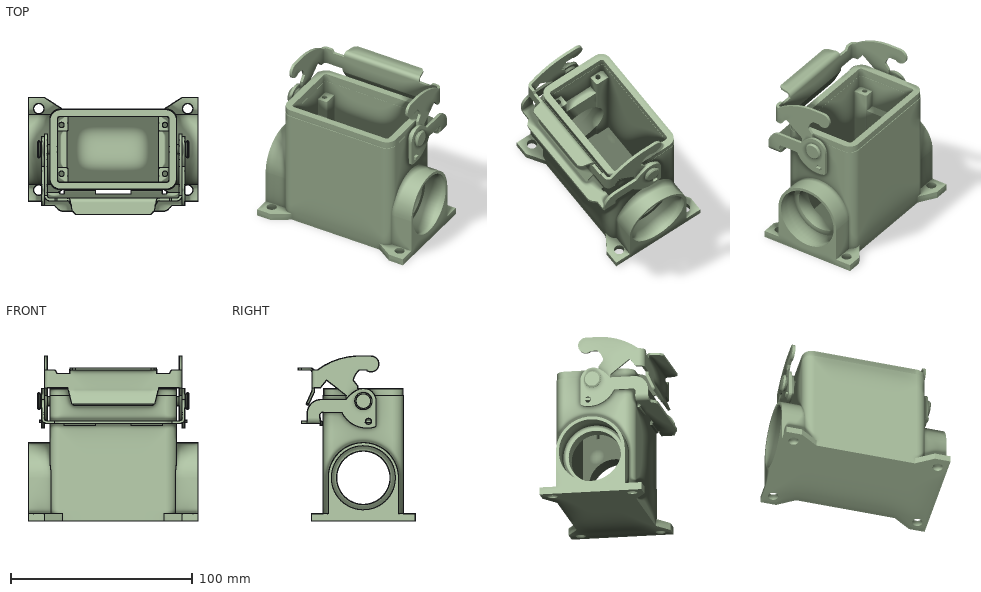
import cadquery as cq
import math

total_length = 93.5
half_length = total_length / 2
body_length = 69.9
body_width = 44.5
body_corner_radius = 5.8
body_height = 73.0
rim_height = 3.9
rim_length = 69.75
rim_width = 43.85

flange_thickness = 4.0
flange_half_width = 28.6
ear_edge_x = 37.9
ear_root_x = 28.05
mount_hole_x = 41.0
mount_hole_y = 22.4
mount_hole_radius = 2.8

cavity_length = 61.5
cavity_width = 36.1
cavity_corner_radius = 1.5
mouth_step = 0.1
mouth_depth = 4.9
floor_thickness = flange_thickness

entry_radius = 19.4
entry_axis_z = 23.8
entry_bore_radius = 14.7
entry_recess_radius = 17.7
entry_recess_depth = 13.1

ledge_depth_left = 5.2
ledge_depth_right = 5.8
ledge_top_z = 50.5
post_length = 5.8
post_width = 8.0
post_top_z = 60.8
post_fillet = 0.9
post_hole_x = 28.5
post_hole_y = 13.5
post_hole_radius = 1.5
post_hole_depth = 9.35

sheet = 1.6
contact_x = 38.0
hook_inner_x = contact_x - sheet
arm_outer_x = contact_x + sheet
bend_radius = 3.1
inner_bend_radius = bend_radius - sheet

pivot_z = 66.1
pivot_radius = 1.5
hub_radius = 2.6
head_radius = 4.8
head_edge_radius = 4.0
head_bevel = 0.75
head_neck_radius = 3.7
head_outer_x = 41.9
head_inner_x = 40.1

lobe_radius = 7.0
leg_radius = 5.1
leg_bottom_z = 54.2
locating_y = 2.8
locating_z = 55.0
locating_hole_radius = 1.7
locating_tab_width = 2.6
locating_tab_height = 1.3
locating_tab_reach = 1.1

hook_tip_radius = 4.4
hook_tip_y = 4.2
hook_top_z = 91.0
hook_tip_z = hook_top_z - hook_tip_radius

handle_front_y = -28.4
handle_back_y = handle_front_y + sheet
handle_bottom_z = 73.4
handle_top_z = 83.3
handle_waist_z = 81.4
grip_top_z = 84.4
grip_thickness = 1.2
grip_edge_y = -35.9
grip_bend_y = -29.4
grip_root_x = 24.1
grip_side_x = 22.5
grip_tip_x = 20.8
grip_corner = 1.8
skirt_bend_z = 71.6
skirt_bend_radius = 1.8
skirt_bottom_z = 63.7
skirt_corner_z = 64.8
skirt_tip_y = -31.6
skirt_root_x = 25.15
skirt_side_x = 22.9
skirt_tip_x = 21.7

arm_top_z = 67.0
arm_bottom_z = 59.9
arm_root_y = -9.5
arm_front_y = -31.0
arm_elbow_radius = 7.9
bail_bottom_z = 53.7
bail_top_z = bail_bottom_z + sheet
bail_bend_z = bail_bottom_z + bend_radius
bail_back_y = -23.75
bail_recess_y = -24.6
bail_front_y = -34.2
bail_recess_half = 29.4
lip_inner_x = 9.7
lip_outer_x = 27.1
lip_back_y = -22.6
lip_thickness = 1.2
lip_bottom_z = 52.7


def box_between(x, y, z):
    """Box from three (low, high) ranges."""
    sizes = [high - low for low, high in (x, y, z)]
    return cq.Workplane("XY").box(*sizes, centered=False).translate((x[0], y[0], z[0]))


def rounded_block(length, width, radius, bottom_z, top_z):
    block = cq.Workplane("XY").workplane(offset=bottom_z).rect(length, width).extrude(top_z - bottom_z)
    return block.edges("|Z").fillet(radius)


def cylinder_along_x(radius, start_x, end_x, y, z):
    return cq.Workplane("YZ", origin=(start_x, 0, 0)).center(y, z).circle(radius).extrude(end_x - start_x)


def both_sides(shape):
    """The shape together with its mirror image on the other side of X = 0."""
    return shape.union(shape.mirror("YZ"))


def flange_ears():
    half_body = body_width / 2
    ear = (
        cq.Workplane("XY")
        .moveTo(half_length, -flange_half_width)
        .lineTo(half_length, flange_half_width)
        .lineTo(ear_edge_x, flange_half_width)
        .lineTo(ear_root_x, half_body)
        .lineTo(ear_root_x, -half_body)
        .lineTo(ear_edge_x, -flange_half_width)
        .close()
        .extrude(flange_thickness)
    )
    holes = (
        cq.Workplane("XY")
        .pushPoints([(mount_hole_x, mount_hole_y), (mount_hole_x, -mount_hole_y)])
        .circle(mount_hole_radius)
        .extrude(flange_thickness)
    )
    return both_sides(ear.cut(holes))


def cable_entries():
    tube = cylinder_along_x(entry_radius, -half_length, half_length, 0, entry_axis_z)
    pedestal = box_between(
        (-half_length, half_length), (-entry_radius, entry_radius), (0, entry_axis_z)
    )
    return tube.union(pedestal)


def cavity():
    """Inner space, leaving an end ledge and two screw posts on each short wall."""
    space = rounded_block(
        cavity_length, cavity_width, cavity_corner_radius, floor_thickness, body_height
    )
    end_x = cavity_length / 2
    side_y = cavity_width / 2
    ledge_z = (floor_thickness, ledge_top_z)
    for ledge_x in ((-end_x, ledge_depth_left - end_x), (end_x - ledge_depth_right, end_x)):
        space = space.cut(box_between(ledge_x, (-side_y, side_y), ledge_z))
    for sign in (-1, 1):
        post = box_between(
            (end_x - post_length, end_x), (side_y - post_width, side_y), (floor_thickness, post_top_z)
        )
        post = post.edges("|Z and <X and <Y").fillet(post_fillet)
        hole = (
            cq.Workplane("XY", origin=(post_hole_x, post_hole_y, post_top_z))
            .circle(post_hole_radius)
            .extrude(-post_hole_depth)
        )
        post = post.cut(hole)
        if sign < 0:
            post = post.mirror("XZ")
        space = space.cut(both_sides(post))
    mouth = rounded_block(
        cavity_length + 2 * mouth_step,
        cavity_width + 2 * mouth_step,
        cavity_corner_radius,
        body_height - mouth_depth,
        body_height,
    )
    return space.union(mouth)


def make_housing():
    rim_base_z = body_height - rim_height
    housing = rounded_block(body_length, body_width, body_corner_radius, 0, rim_base_z)
    housing = housing.union(
        rounded_block(rim_length, rim_width, body_corner_radius, rim_base_z, body_height)
    )
    housing = housing.union(cable_entries()).union(flange_ears()).cut(cavity())
    bore = cylinder_along_x(entry_bore_radius, -half_length, half_length, 0, entry_axis_z)
    recess = cylinder_along_x(
        entry_recess_radius, half_length - entry_recess_depth, half_length, 0, entry_axis_z
    )
    pivot_hole = cylinder_along_x(pivot_radius, cavity_length / 2, body_length / 2, 0, pivot_z)
    return housing.cut(bore).cut(both_sides(recess)).cut(both_sides(pivot_hole))


def pivot_pin():
    """Turned pin: shank in the housing wall, hub beside it, bevelled head outside."""
    wall_x = body_length / 2
    return (
        cq.Workplane("XY")
        .moveTo(cavity_length / 2, 0)
        .lineTo(cavity_length / 2, pivot_radius)
        .lineTo(wall_x, pivot_radius)
        .lineTo(wall_x, hub_radius)
        .lineTo(contact_x, hub_radius)
        .lineTo(contact_x, head_neck_radius)
        .lineTo(head_inner_x, head_neck_radius)
        .lineTo(head_inner_x, head_edge_radius)
        .lineTo(head_inner_x + head_bevel, head_radius)
        .lineTo(head_outer_x - head_bevel, head_radius)
        .lineTo(head_outer_x, head_edge_radius)
        .lineTo(head_outer_x, 0)
        .close()
        .revolve(360, (0, 0, 0), (1, 0, 0))
        .translate((0, 0, pivot_z))
    )


def around_pivot(radius, angle):
    """(Y, Z) of a point around the pivot, angle in degrees from +Y."""
    turn = math.radians(angle)
    return (radius * math.cos(turn), pivot_z + radius * math.sin(turn))


def hook_plate():
    """Inner side plate: hook on top, leg around the pivot, locating tab below."""
    tip_bottom_y = 1.9
    tip_bottom_z = hook_tip_z - math.sqrt(hook_tip_radius**2 - (hook_tip_y - tip_bottom_y) ** 2)
    back_start = (-4.2, hook_top_z)
    back_middle = (-15.2, 88.7)
    bend_y = handle_front_y + bend_radius
    heel = (-23.7, handle_bottom_z)
    notch = (-20.3, 77.6)
    leg_front_z = 69.3
    leg_curve = (-6.4, 58.0)
    leg_bottom = (0.9, leg_bottom_z)
    neck_y = -3.0
    neck_z = 74.3
    neck_angle = math.degrees(math.acos(neck_y / leg_radius))
    throat_corner = (-5.5, 77.6)
    throat_curve = (-4.1, 81.1)
    throat_end_y = -2.15
    throat_z = 83.2
    plate = (
        cq.Workplane("YZ", origin=(hook_inner_x, 0, 0))
        .moveTo(hook_tip_y, hook_top_z)
        .lineTo(*back_start)
        .threePointArc(back_middle, (bend_y, handle_top_z))
        .lineTo(bend_y, handle_bottom_z)
        .lineTo(*heel)
        .lineTo(*notch)
        .lineTo(arm_root_y, leg_front_z)
        .lineTo(arm_root_y, arm_top_z)
        .threePointArc(leg_curve, leg_bottom)
        .lineTo(leg_radius, leg_bottom_z)
        .lineTo(leg_radius, pivot_z)
        .threePointArc(around_pivot(leg_radius, neck_angle / 2), around_pivot(leg_radius, neck_angle))
        .lineTo(neck_y, neck_z)
        .lineTo(*throat_corner)
        .threePointArc(throat_curve, (throat_end_y, throat_z))
        .lineTo(tip_bottom_y, throat_z)
        .lineTo(tip_bottom_y, tip_bottom_z)
        .threePointArc((hook_tip_y + hook_tip_radius, hook_tip_z), (hook_tip_y, hook_top_z))
        .close()
        .extrude(sheet)
    )
    tab = box_between(
        (contact_x, arm_outer_x + locating_tab_reach),
        (locating_y - locating_tab_width / 2, locating_y + locating_tab_width / 2),
        (locating_z - locating_tab_height / 2, locating_z + locating_tab_height / 2),
    )
    return plate.union(tab)


def arm_plate():
    """Outer side plate: lobe around the pivot and an elbowed arm towards the bail."""
    elbow_y = arm_front_y + arm_elbow_radius
    elbow_z = arm_top_z - arm_elbow_radius
    diagonal = arm_elbow_radius * math.sqrt(0.5)
    nape_angle = 114.0
    nape_curve = (-6.5, 70.2)
    arm_back_y = -24.0
    inner_elbow = 1.1
    belly_start_y = -11.9
    belly_curve = (-7.9, 54.8)
    belly_bottom = (0.8, 51.2)
    heel_curve = (4.1, 51.3)
    heel_end = (6.2, 51.8)
    heel_side_z = 52.4
    plate = (
        cq.Workplane("YZ", origin=(contact_x, 0, 0))
        .moveTo(lobe_radius, heel_side_z)
        .lineTo(lobe_radius, pivot_z)
        .threePointArc(around_pivot(lobe_radius, nape_angle / 2), around_pivot(lobe_radius, nape_angle))
        .threePointArc(nape_curve, (arm_root_y, arm_top_z))
        .lineTo(elbow_y, arm_top_z)
        .threePointArc((elbow_y - diagonal, elbow_z + diagonal), (arm_front_y, elbow_z))
        .lineTo(arm_front_y, bail_bend_z)
        .lineTo(arm_back_y, bail_bend_z)
        .lineTo(arm_back_y, arm_bottom_z - inner_elbow)
        .lineTo(arm_back_y + inner_elbow, arm_bottom_z)
        .lineTo(belly_start_y, arm_bottom_z)
        .threePointArc(belly_curve, belly_bottom)
        .threePointArc(heel_curve, heel_end)
        .close()
        .extrude(sheet)
    )
    hole = cylinder_along_x(locating_hole_radius, contact_x, arm_outer_x, locating_y, locating_z)
    return plate.cut(hole)


def bent_strip(plane, half_outer, edge, leg_end):
    """Sketch of a U of sheet with rounded corners; 'edge' is its outer middle, legs end at 'leg_end'."""
    half_inner = half_outer - sheet
    inner_edge = edge + sheet
    outer_mid = bend_radius * (1 - math.sqrt(0.5))
    inner_mid = sheet + inner_bend_radius * (1 - math.sqrt(0.5))
    straight = half_outer - bend_radius
    return (
        plane.moveTo(-half_outer, leg_end)
        .threePointArc((-half_outer + outer_mid, edge + outer_mid), (-straight, edge))
        .lineTo(straight, edge)
        .threePointArc((half_outer - outer_mid, edge + outer_mid), (half_outer, leg_end))
        .lineTo(half_inner, leg_end)
        .threePointArc((half_outer - inner_mid, edge + inner_mid), (straight, inner_edge))
        .lineTo(-straight, inner_edge)
        .threePointArc((-half_outer + inner_mid, edge + inner_mid), (-half_inner, leg_end))
        .close()
    )


def handle_strip():
    """Cross strip joining the hook plates, lowered along most of its top edge."""
    plane = cq.Workplane("XY", origin=(0, 0, handle_bottom_z))
    strip = bent_strip(plane, contact_x, handle_front_y, handle_front_y + bend_radius)
    strip = strip.extrude(handle_top_z - handle_bottom_z)
    waist_top_x = 32.1
    waist_bottom_x = 30.95
    waist = (
        cq.Workplane("XZ", origin=(0, handle_back_y, 0))
        .moveTo(-waist_top_x, handle_top_z)
        .lineTo(-waist_bottom_x, handle_waist_z)
        .lineTo(waist_bottom_x, handle_waist_z)
        .lineTo(waist_top_x, handle_top_z)
        .close()
        .extrude(sheet)
    )
    return strip.cut(waist)


def grip():
    """Flange bent outwards from the top of the handle strip, tapered towards its edge."""
    outer_radius = handle_back_y - grip_bend_y
    inner_radius = handle_front_y - grip_bend_y
    outer_z = grip_top_z - outer_radius
    grip_bottom_z = grip_top_z - grip_thickness
    inner_z = grip_bottom_z - inner_radius
    diagonal = math.sqrt(0.5)
    section = (
        cq.Workplane("YZ", origin=(-grip_root_x, 0, 0))
        .moveTo(handle_back_y, handle_waist_z)
        .lineTo(handle_back_y, outer_z)
        .threePointArc(
            (grip_bend_y + outer_radius * diagonal, outer_z + outer_radius * diagonal),
            (grip_bend_y, grip_top_z),
        )
        .lineTo(grip_edge_y, grip_top_z)
        .lineTo(grip_edge_y, grip_bottom_z)
        .lineTo(grip_bend_y, grip_bottom_z)
        .threePointArc(
            (grip_bend_y + inner_radius * diagonal, inner_z + inner_radius * diagonal),
            (handle_front_y, inner_z),
        )
        .lineTo(handle_front_y, handle_waist_z)
        .close()
        .extrude(2 * grip_root_x)
    )
    outline = (
        cq.Workplane("XY", origin=(0, 0, handle_waist_z))
        .moveTo(-grip_root_x, handle_back_y)
        .lineTo(-grip_side_x, grip_edge_y + grip_corner)
        .lineTo(-grip_tip_x, grip_edge_y)
        .lineTo(grip_tip_x, grip_edge_y)
        .lineTo(grip_side_x, grip_edge_y + grip_corner)
        .lineTo(grip_root_x, handle_back_y)
        .close()
        .extrude(grip_top_z - handle_waist_z)
    )
    return section.intersect(outline)


def skirt():
    """Flap below the handle strip, tilted outwards and tapered downwards."""
    tip_thickness_y = 1.2
    tip_rise_z = 0.75
    back_bend_z = skirt_bend_z - 0.3
    section = (
        cq.Workplane("YZ", origin=(-skirt_root_x, 0, 0))
        .moveTo(handle_back_y, handle_bottom_z)
        .lineTo(handle_front_y, handle_bottom_z)
        .lineTo(handle_front_y, skirt_bend_z)
        .lineTo(skirt_tip_y, skirt_bottom_z + tip_rise_z)
        .lineTo(skirt_tip_y + tip_thickness_y, skirt_bottom_z)
        .lineTo(handle_back_y, back_bend_z)
        .close()
        .extrude(2 * skirt_root_x)
    )
    bend_point = (0, handle_front_y, skirt_bend_z)
    section = section.edges(cq.NearestToPointSelector(bend_point)).fillet(skirt_bend_radius)
    outline = (
        cq.Workplane("XZ", origin=(0, handle_back_y, 0))
        .moveTo(-skirt_root_x, handle_bottom_z)
        .lineTo(-skirt_side_x, skirt_corner_z)
        .lineTo(-skirt_tip_x, skirt_bottom_z)
        .lineTo(skirt_tip_x, skirt_bottom_z)
        .lineTo(skirt_side_x, skirt_corner_z)
        .lineTo(skirt_root_x, handle_bottom_z)
        .close()
        .extrude(handle_back_y - skirt_tip_y)
    )
    return section.intersect(outline)


def bail():
    """Cross plate joining the arms: bent up at both ends, with a shelf, a recess and two lips."""
    plane = cq.Workplane("XZ", origin=(0, bail_back_y, 0))
    strip = bent_strip(plane, arm_outer_x, bail_bottom_z, bail_bend_z)
    strip = strip.extrude(bail_back_y - arm_front_y)
    shelf_root_x = 32.35
    shelf_side_x = 30.1
    shelf_side_y = -33.3
    shelf_curve_x = 28.9
    shelf_curve_y = -33.9
    shelf_tip_x = 27.4
    shelf = (
        cq.Workplane("XY", origin=(0, 0, bail_bottom_z))
        .moveTo(-shelf_root_x, arm_front_y)
        .lineTo(-shelf_side_x, shelf_side_y)
        .threePointArc((-shelf_curve_x, shelf_curve_y), (-shelf_tip_x, bail_front_y))
        .lineTo(shelf_tip_x, bail_front_y)
        .threePointArc((shelf_curve_x, shelf_curve_y), (shelf_side_x, shelf_side_y))
        .lineTo(shelf_root_x, arm_front_y)
        .close()
        .extrude(sheet)
    )
    recess = box_between(
        (-bail_recess_half, bail_recess_half), (bail_recess_y, bail_back_y), (bail_bottom_z, bail_top_z)
    )
    lip = box_between(
        (lip_inner_x, lip_outer_x), (bail_recess_y, lip_back_y), (lip_bottom_z, bail_top_z)
    )
    lip = lip.edges("|X and >Y and >Z").fillet(lip_thickness)
    under_lip = box_between(
        (lip_inner_x, lip_outer_x), (bail_recess_y, lip_back_y - lip_thickness), (lip_bottom_z, bail_bottom_z)
    )
    return strip.cut(recess).union(shelf).union(both_sides(lip.cut(under_lip)))


def make_lever():
    side = hook_plate().union(arm_plate()).union(pivot_pin())
    lever = both_sides(side)
    for feature in (handle_strip(), grip(), skirt(), bail()):
        lever = lever.union(feature)
    return lever


housing = make_housing()
lever = make_lever()
result = cq.Compound.makeCompound([housing.solids().val(), lever.solids().val()])